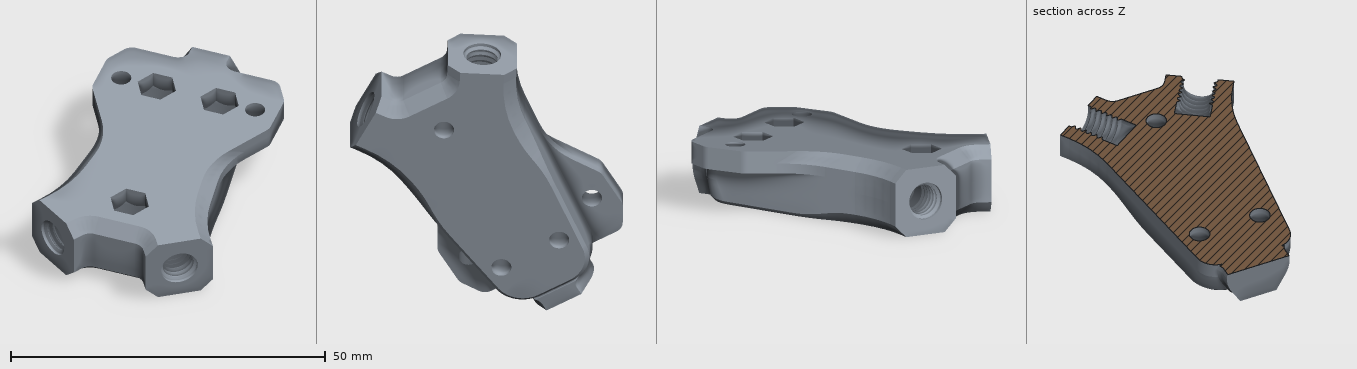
import cadquery as cq
import math

half_height = 5.5
length = 47.69
tip_half_span = 15.29
edge_chamfer = 2.0
chamfer_z = half_height - edge_chamfer
overcut = 1.0

arm_width = 11.0
arm_angle = 33.1
arm_straight = 1.7
wall_angle = 7.2
arm_bend_radius = 18.7
notch_depth = 2.37
notch_radius = 2.0

flange_half_width = 15.0
flange_thickness = 3.6
flange_bottom_z = half_height - flange_thickness
flange_back_y = length - 3.25
flange_side_length = 7.0
flange_slope = 30.5
flange_corner_radius = 2.0
flange_blend_radius = 12.4
screw_row_y = 36.9

tail_radius = 5.5
tail_flare_radius = 1.8
core_back_y = length - 2.66
core_back_radius = 3.3
core_bottom_radius = 5.5
core_taper_z = -1.6

core_edge = 0.6
core_edge_end_y = 24.7
arm_edge_start_y = 18.3
edge_blend_radius = 25.0

screw_diameter = 3.2
nut_flats = 5.6
nut_depth = 2.7
nut_circle_radius = nut_flats / math.sqrt(3)
nut_spacing = 10.6
front_nut_y = 9.37
outer_hole_spacing = 22.62

thread_major_radius = 3.0
thread_minor_radius = 2.5
thread_pitch = 1.0
thread_turns = 6
thread_lead_in = 0.5
thread_root_flat = thread_pitch / 4
thread_crest_flat = thread_pitch / 8
threaded_hole_depth = 9.0


def shifted(line, inset):
    """The line moved into the part by inset."""
    x, y, angle = line
    a = math.radians(angle)
    return (x - inset * math.cos(a), y - inset * math.sin(a), angle)


def crossing(line_a, line_b):
    """The point where two lines meet, from each line's distance to the origin along its normal."""
    ax, ay, a = line_a[0], line_a[1], math.radians(line_a[2])
    bx, by, b = line_b[0], line_b[1], math.radians(line_b[2])
    da = ax * math.cos(a) + ay * math.sin(a)
    db = bx * math.cos(b) + by * math.sin(b)
    det = math.sin(b - a)
    x = (da * math.sin(b) - db * math.sin(a)) / det
    y = (db * math.cos(a) - da * math.cos(b)) / det
    return x, y


def level(y):
    """A line along X at y, with the part on its -Y side."""
    return (0, y, 90)


arm_cos = math.cos(math.radians(arm_angle))
arm_sin = math.sin(math.radians(arm_angle))
outer_tip = (tip_half_span, arm_width * arm_sin)
inner_tip = (tip_half_span - arm_width * arm_cos, 0)
arm_end = (inner_tip[0], inner_tip[1], arm_angle - 90)
arm_outer = (outer_tip[0], outer_tip[1], arm_angle)
arm_inner = (inner_tip[0], inner_tip[1], arm_angle + 180)
bend_tangent = arm_bend_radius * math.tan(math.radians(arm_angle - wall_angle) / 2)
bend_reach = arm_straight + bend_tangent
wall = (outer_tip[0] - bend_reach * arm_sin, outer_tip[1] + bend_reach * arm_cos, wall_angle)
notch = (0, notch_depth, -90)


def symmetric_wire(corners, z):
    """Closed wire from the +X half's corners (x, y, rounding radius), mirrored about X = 0."""
    points = corners + [(-x, y, r) for x, y, r in reversed(corners)]
    ends = []
    for i, (x, y, r) in enumerate(points):
        here = cq.Vector(x, y, z)
        before = (cq.Vector(*points[i - 1][:2], z) - here).normalized()
        after = (cq.Vector(*points[(i + 1) % len(points)][:2], z) - here).normalized()
        half = before.getAngle(after) / 2
        reach = r / math.tan(half)
        middle = here + (before + after).normalized() * (r / math.sin(half) - r)
        ends.append((here + before * reach, middle, here + after * reach, r))
    edges = []
    for i, (start, middle, end, r) in enumerate(ends):
        if r:
            edges.append(cq.Edge.makeThreePointArc(start, middle, end))
        edges.append(cq.Edge.makeLine(end, ends[(i + 1) % len(ends)][0]))
    return cq.Wire.assembleEdges(edges)


def prism(corners, z_low, z_high):
    wire = symmetric_wire(corners, z_low)
    return cq.Workplane(cq.Solid.extrudeLinear(wire, [], cq.Vector(0, 0, z_high - z_low)))


def sloped_prism(low_corners, z_low, high_corners, z_high):
    wires = [symmetric_wire(low_corners, z_low), symmetric_wire(high_corners, z_high)]
    return cq.Workplane(cq.Solid.makeLoft(wires, True))


def arm_corners(inset):
    """Corners from the outer arm bend to the front notch, with the sides moved in by inset."""
    return [
        (*crossing(shifted(wall, inset), shifted(arm_outer, inset)), arm_bend_radius + inset),
        (*crossing(shifted(arm_outer, inset), arm_end), 0),
        (*crossing(arm_end, shifted(arm_inner, inset)), 0),
        (*crossing(shifted(arm_inner, inset), shifted(notch, inset)), notch_radius + inset),
    ]


def flange_corners(inset):
    """Full outline with the flange; only the arms and the waist move in by inset."""
    y_high = screw_row_y + flange_side_length / 2
    y_low = screw_row_y - flange_side_length / 2
    rear_slope = (flange_half_width, y_high, flange_slope)
    front_slope = (flange_half_width, y_low, -flange_slope)
    return [
        (*crossing(level(flange_back_y), rear_slope), flange_corner_radius),
        (flange_half_width, y_high, flange_corner_radius),
        (flange_half_width, y_low, flange_corner_radius),
        (*crossing(front_slope, shifted(wall, inset)), flange_blend_radius),
    ] + arm_corners(inset)


def core_corners(back_radius):
    return [(*crossing(level(core_back_y), wall), back_radius)] + arm_corners(0)


def bottom_corners(rise):
    """Bottom edge outline, grown outwards by rise for the 45 degree chamfer above it."""
    core_inset = core_edge - rise
    arm_inset = edge_chamfer - rise
    core_side = shifted(wall, core_inset)
    arm_side = shifted(wall, arm_inset)
    back = level(core_back_y - core_inset)
    return [
        (*crossing(back, core_side), core_bottom_radius - core_inset),
        (*crossing(core_side, level(core_edge_end_y)), edge_blend_radius + rise),
        (*crossing(arm_side, level(arm_edge_start_y)), edge_blend_radius - rise),
    ] + arm_corners(arm_inset)


def slab(y_low, y_high, z_low, z_high):
    """Block wider than the part, between the given y and z."""
    size = (4 * flange_half_width, y_high - y_low, z_high - z_low)
    return cq.Workplane().box(*size).translate((0, (y_low + y_high) / 2, (z_low + z_high) / 2))


def tail():
    """Hexagon with both side corners rounded to the inscribed circle, flared into the flange back."""
    flat = tail_radius * math.tan(math.radians(30))
    touch_x = tail_radius * math.cos(math.radians(30))
    touch_z = tail_radius * math.sin(math.radians(30))
    root_y = flange_back_y - 2 * tail_radius
    section = (
        cq.Workplane("XZ", origin=(0, length, 0))
        .moveTo(-flat, tail_radius)
        .lineTo(flat, tail_radius)
        .lineTo(touch_x, touch_z)
        .threePointArc((tail_radius, 0), (touch_x, -touch_z))
        .lineTo(flat, -tail_radius)
        .lineTo(-flat, -tail_radius)
        .lineTo(-touch_x, -touch_z)
        .threePointArc((-tail_radius, 0), (-touch_x, touch_z))
        .close()
        .extrude(length - root_y)
    )
    root = slab(root_y, flange_back_y, -half_height, half_height)
    margin = 0.1
    junction = cq.selectors.BoxSelector(
        (-tail_radius - margin, flange_back_y - margin, margin - half_height),
        (tail_radius + margin, flange_back_y + margin, half_height - margin),
    )
    return section.union(root).edges(junction).fillet(tail_flare_radius)


def screw_holes():
    spots = [(0, front_nut_y)]
    spots += [(side * nut_spacing / 2, screw_row_y) for side in (-1, 1)]
    spots += [(side * outer_hole_spacing / 2, screw_row_y) for side in (-1, 1)]
    return (
        cq.Workplane(origin=(0, 0, -half_height - overcut))
        .pushPoints(spots)
        .circle(screw_diameter / 2)
        .extrude(2 * (half_height + overcut))
    )


def nut_pocket(x, y):
    """Hexagonal nut pocket whose floor is a 45 degree cone running down to the screw hole."""
    depth = nut_depth + nut_circle_radius
    pocket = (
        cq.Workplane(origin=(x, y, half_height))
        .polygon(6, 2 * nut_circle_radius)
        .extrude(-depth)
    )
    cone = (
        cq.Workplane("XZ", origin=(x, y, half_height))
        .polyline([(0, 0), (nut_circle_radius, 0), (nut_circle_radius, -nut_depth), (0, -depth)])
        .close()
        .revolve(360, (0, 0), (0, 1))
    )
    return pocket.intersect(cone)


def threaded_hole(side):
    """Blind hole along the arm's axis with ring grooves for the thread and a plain bore at its end."""
    flank = (thread_pitch - thread_root_flat - thread_crest_flat) / 2
    profile = [(0, -overcut), (thread_major_radius, -overcut)]
    for turn in range(thread_turns):
        flank_start = thread_lead_in + turn * thread_pitch
        crest_start = flank_start + flank
        crest_end = crest_start + thread_crest_flat
        profile.append((thread_major_radius, flank_start))
        profile.append((thread_minor_radius, crest_start))
        profile.append((thread_minor_radius, crest_end))
        profile.append((thread_major_radius, crest_end + flank))
    profile.append((thread_major_radius, threaded_hole_depth))
    profile.append((0, threaded_hole_depth))
    middle = (side * (outer_tip[0] + inner_tip[0]) / 2, (outer_tip[1] + inner_tip[1]) / 2)
    return (
        cq.Workplane()
        .polyline(profile)
        .close()
        .revolve(360, (0, 0), (0, 1))
        .rotate((0, 0, 0), (0, 0, 1), side * arm_angle)
        .translate((*middle, 0))
    )


holes = screw_holes()
for side in (-1, 1):
    holes = holes.union(threaded_hole(side))

flared_tail = tail()
flange_tail = flared_tail.intersect(slab(flange_back_y, length, flange_bottom_z, half_height))
upper_tail = flared_tail.intersect(slab(core_back_y, length, 0, flange_bottom_z))
upper_half = (
    prism(core_corners(core_back_radius), 0, flange_bottom_z)
    .union(prism(flange_corners(0), flange_bottom_z, chamfer_z))
    .union(sloped_prism(flange_corners(0), chamfer_z, flange_corners(edge_chamfer), half_height))
    .union(flange_tail)
    .union(upper_tail)
    .cut(holes)
)
for x, y in ((0, front_nut_y), (-nut_spacing / 2, screw_row_y), (nut_spacing / 2, screw_row_y)):
    upper_half = upper_half.cut(nut_pocket(x, y))

lower_tail = flared_tail.intersect(slab(core_back_y, length, -half_height, 0))
chamfered_edge = sloped_prism(bottom_corners(0), -half_height, bottom_corners(edge_chamfer), -chamfer_z)
core_bottom = core_corners(core_bottom_radius)
core_middle = core_corners(core_back_radius)
lower_half = (
    sloped_prism(core_bottom, -half_height, core_middle, core_taper_z)
    .intersect(chamfered_edge.union(slab(-overcut, length, -chamfer_z, core_taper_z)))
    .union(prism(core_middle, core_taper_z, 0))
    .union(lower_tail)
    .cut(holes)
)

result = cq.Compound.makeCompound([*upper_half.solids().vals(), *lower_half.solids().vals()])